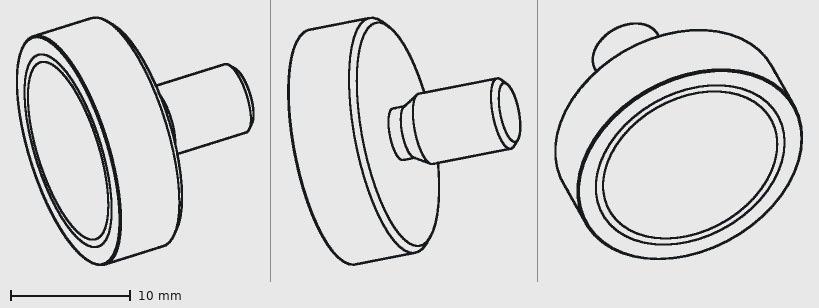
import cadquery as cq

POT_DIAMETER = 20.0
POT_HEIGHT = 6.0
BACK_CHAMFER = 0.5
FRONT_CHAMFER = 0.1

STUD_DIAMETER = 6.0
STUD_LENGTH = 10.0
TIP_CHAMFER = 0.5
NECK_DIAMETER = 4.4
NECK_LENGTH = 1.1
UNDERCUT_LENGTH = 2.5

MAGNET_DIAMETER = 15.5
RING_OUTER_DIAMETER = 16.8
RECESS_DEPTH = 4.5

pot_radius = POT_DIAMETER / 2
stud_radius = STUD_DIAMETER / 2
neck_radius = NECK_DIAMETER / 2

neck_end = POT_HEIGHT + NECK_LENGTH
cone_end = POT_HEIGHT + UNDERCUT_LENGTH
stud_tip = POT_HEIGHT + STUD_LENGTH


def cylinder_from_front(diameter, length):
    """Cylinder on the Y axis, running from the front face toward +Y."""
    return cq.Workplane("XZ").circle(diameter / 2).extrude(-length)


def make_housing():
    """Pot and stud turned about the Y axis, with the recess for ring and magnet."""
    pot = cylinder_from_front(POT_DIAMETER, POT_HEIGHT)
    pot = pot.faces(">Y").edges().chamfer(BACK_CHAMFER)
    pot = pot.faces("<Y").edges().chamfer(FRONT_CHAMFER)

    stud_profile = [
        (0, POT_HEIGHT),
        (neck_radius, POT_HEIGHT),
        (neck_radius, neck_end),
        (stud_radius, cone_end),
        (stud_radius, stud_tip - TIP_CHAMFER),
        (stud_radius - TIP_CHAMFER, stud_tip),
        (0, stud_tip),
    ]
    stud = cq.Workplane("XY").polyline(stud_profile).close().revolve(360, (0, 0), (0, 1))

    recess = cylinder_from_front(RING_OUTER_DIAMETER, RECESS_DEPTH)
    return pot.union(stud).cut(recess)


def make_magnet():
    """Plain disc that fills the middle of the recess."""
    return cylinder_from_front(MAGNET_DIAMETER, RECESS_DEPTH)


def make_spacer_ring():
    """Ring that fills the gap between the magnet and the pot wall."""
    return cylinder_from_front(RING_OUTER_DIAMETER, RECESS_DEPTH).cut(make_magnet())


housing = make_housing()
magnet = make_magnet()
spacer_ring = make_spacer_ring()

result = cq.Compound.makeCompound([housing.val(), magnet.val(), spacer_ring.val()])